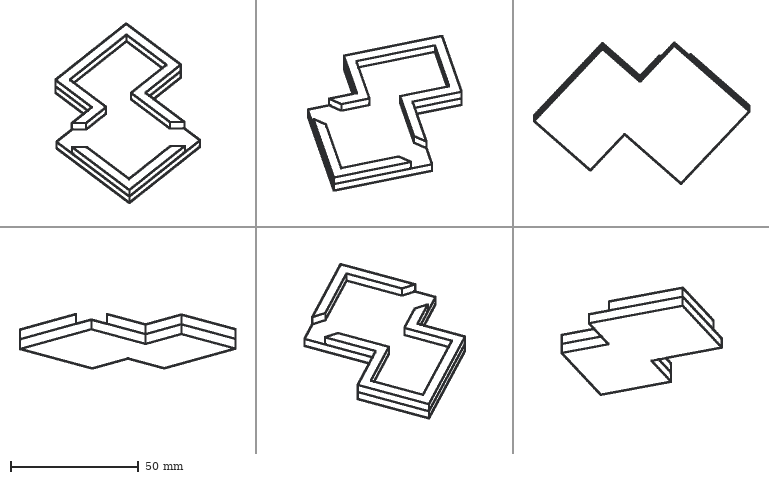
import cadquery as cq

SIDE = 60.0
STEP = SIDE / 3
HALF = SIDE / 2
TOTAL_HEIGHT = 8.0
BASE_HEIGHT = TOTAL_HEIGHT / 2
RIM_HEIGHT = TOTAL_HEIGHT - BASE_HEIGHT
RIM_WIDTH = 4.0
GAP_SETBACK = 8.6

LEFT, RIGHT = -SIDE / 2, SIDE / 2
FRONT, BACK = -SIDE / 2, SIDE / 2
LOWER_NOTCH_X = LEFT + STEP
LOWER_NOTCH_Y = FRONT + STEP
UPPER_NOTCH_X = RIGHT - HALF
UPPER_NOTCH_Y = BACK - STEP


def make_base():
    """Flat plate: two overlapping rectangles in a staggered outline."""
    outline = [
        (LEFT, BACK),
        (UPPER_NOTCH_X, BACK),
        (UPPER_NOTCH_X, UPPER_NOTCH_Y),
        (RIGHT, UPPER_NOTCH_Y),
        (RIGHT, FRONT),
        (LOWER_NOTCH_X, FRONT),
        (LOWER_NOTCH_X, LOWER_NOTCH_Y),
        (LEFT, LOWER_NOTCH_Y),
    ]
    return cq.Workplane("XY").polyline(outline).close().extrude(BASE_HEIGHT)


def make_rim(outline):
    """Wall standing on the plate."""
    plane = cq.Workplane("XY").workplane(offset=BASE_HEIGHT)
    return plane.polyline(outline).close().extrude(RIM_HEIGHT)


def make_long_rim():
    """Rim around the back-left area, with both ends mitred at 45 degrees."""
    back_end_x = RIGHT - GAP_SETBACK
    front_end_y = FRONT + GAP_SETBACK
    return make_rim([
        (back_end_x, UPPER_NOTCH_Y),
        (UPPER_NOTCH_X, UPPER_NOTCH_Y),
        (UPPER_NOTCH_X, BACK),
        (LEFT, BACK),
        (LEFT, LOWER_NOTCH_Y),
        (LOWER_NOTCH_X, LOWER_NOTCH_Y),
        (LOWER_NOTCH_X, front_end_y),
        (LOWER_NOTCH_X + RIM_WIDTH, front_end_y + RIM_WIDTH),
        (LOWER_NOTCH_X + RIM_WIDTH, LOWER_NOTCH_Y + RIM_WIDTH),
        (LEFT + RIM_WIDTH, LOWER_NOTCH_Y + RIM_WIDTH),
        (LEFT + RIM_WIDTH, BACK - RIM_WIDTH),
        (UPPER_NOTCH_X - RIM_WIDTH, BACK - RIM_WIDTH),
        (UPPER_NOTCH_X - RIM_WIDTH, UPPER_NOTCH_Y - RIM_WIDTH),
        (back_end_x - RIM_WIDTH, UPPER_NOTCH_Y - RIM_WIDTH),
    ])


def make_corner_rim():
    """L-shaped rim at the front-right corner, with both ends mitred at 45 degrees."""
    left_end_x = LOWER_NOTCH_X + GAP_SETBACK
    back_end_y = UPPER_NOTCH_Y - GAP_SETBACK
    return make_rim([
        (left_end_x, FRONT),
        (RIGHT, FRONT),
        (RIGHT, back_end_y),
        (RIGHT - RIM_WIDTH, back_end_y - RIM_WIDTH),
        (RIGHT - RIM_WIDTH, FRONT + RIM_WIDTH),
        (left_end_x + RIM_WIDTH, FRONT + RIM_WIDTH),
    ])


base = make_base()
long_rim = make_long_rim()
corner_rim = make_corner_rim()

result = cq.Compound.makeCompound([base.val(), long_rim.val(), corner_rim.val()])